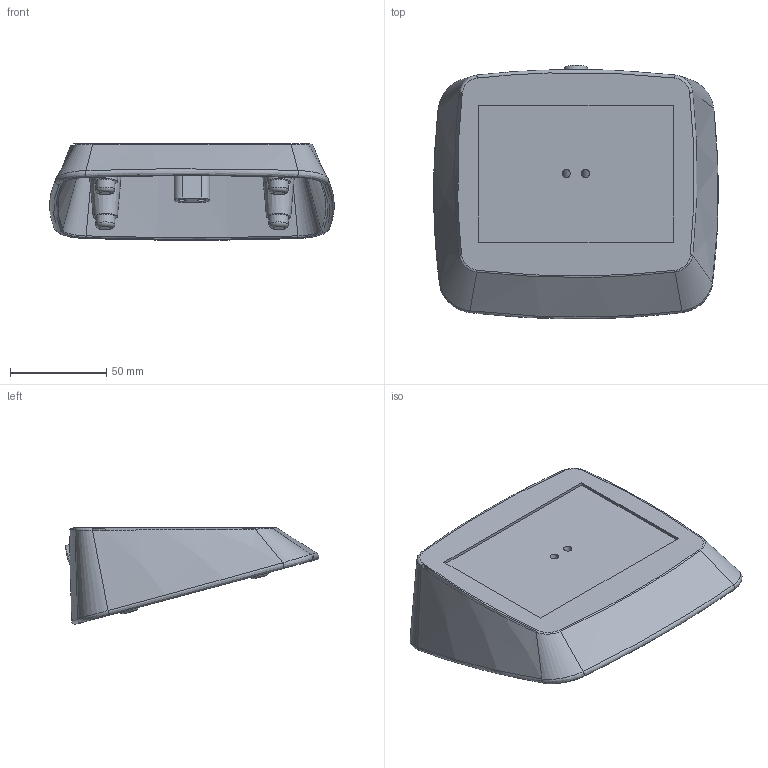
import cadquery as cq
import math

TILT = 15.0
BASE_DISTANCE = 35.17

TOP_HALF_X = 62.6
TOP_HALF_Y = 53.85
TOP_CENTRE_Y = 0.35
TOP_CORNER_X = 59.3
TOP_CORNER_Y = 50.0
TOP_CORNER_RADIUS = 10.0
BASE_HALF_X = 74.7
BASE_HALF_Y = 68.15
BASE_CORNER_X = 70.3
BASE_CORNER_Y = 62.4
BASE_CORNER_RADIUS = 19.0
BASE_CENTRE_Y = -3.5

TOP_WALL = 4.0
BASE_WALL = 4.8
TOP_EDGE_RADIUS = 1.6
RIM_OUTER_RADIUS = 2.0
RIM_INNER_RADIUS = 0.9

RECESS_X = 101.2
RECESS_Y = 71.0
RECESS_DEPTH = 1.5

HOLE_SPACING = 10.0
HOLE_DIAMETER = 4.2
POST_WIDTH = 8.6
POST_CENTRE_Y = 0.5
POST_RECESS = 5.0

FOOT_SPACING_X = 90.0
FOOT_SPACING_Y = 70.0
FOOT_CENTRE_Y = -1.5
FOOT_DIAMETER = 10.0
FOOT_PROTRUSION = 1.2
FOOT_EDGE_RADIUS = 2.0
LEG_END_DIAMETER = 12.6
LEG_TAPER = 5.0

PLUG_DIAMETER = 12.2
PLUG_LENGTH = 4.0
PLUG_BULGE = 0.5
PLUG_FACE_Y = 54.85
PLUG_FACE_Z = -15.2

SIN_TILT = math.sin(math.radians(TILT))
COS_TILT = math.cos(math.radians(TILT))
BASE_NORMAL = cq.Vector(0, SIN_TILT, COS_TILT)


def base_plane(inset=0.0):
    """Plane parallel to the base, moved into the housing by inset."""
    distance = BASE_DISTANCE - inset
    return cq.Plane(
        origin=(0, -distance * SIN_TILT, -distance * COS_TILT),
        xDir=(1, 0, 0),
        normal=BASE_NORMAL,
    )


def bowed_outline(plane, centre_y, half_x, half_y, corner_x, corner_y, radius, inset):
    """Rectangle with four bowed sides and rounded corners, offset inwards by inset."""
    wire = (
        cq.Workplane(plane)
        .center(0, centre_y)
        .moveTo(-corner_x, -corner_y)
        .threePointArc((0, -half_y), (corner_x, -corner_y))
        .threePointArc((half_x, 0), (corner_x, corner_y))
        .threePointArc((0, half_y), (-corner_x, corner_y))
        .threePointArc((-half_x, 0), (-corner_x, -corner_y))
        .close()
        .val()
    )
    wire = wire.fillet2D(radius, wire.Vertices())
    if inset:
        wire = wire.offset2D(-inset)[0]
    return wire


def housing_body(top_inset=0.0, base_inset=0.0):
    """Ruled body between the top and base outlines, each shrunk and the top lowered by its inset."""
    top = bowed_outline(
        cq.Plane.XY(origin=(0, 0, -top_inset)), TOP_CENTRE_Y, TOP_HALF_X, TOP_HALF_Y,
        TOP_CORNER_X, TOP_CORNER_Y, TOP_CORNER_RADIUS, top_inset,
    )
    base = bowed_outline(
        base_plane(), BASE_CENTRE_Y, BASE_HALF_X, BASE_HALF_Y,
        BASE_CORNER_X, BASE_CORNER_Y, BASE_CORNER_RADIUS, base_inset,
    )
    return cq.Workplane(cq.Solid.makeLoft([base, top], True))


def lowest_face(body):
    """Face farthest down along the base normal."""
    return body.faces(cq.selectors.DirectionMinMaxSelector(BASE_NORMAL, False))


def outer_body():
    """Solid housing with rounded top and base edges."""
    body = housing_body()
    body = lowest_face(body).edges().fillet(RIM_OUTER_RADIUS)
    return body.faces(">Z").edges().fillet(TOP_EDGE_RADIUS)


def shell():
    """Hollow housing, open at the base, with the inner edge of its rim rounded."""
    housing = outer_body().cut(housing_body(TOP_WALL, BASE_WALL))
    rim = lowest_face(housing).val()
    return housing.newObject(rim.innerWires()[0].Edges()).fillet(RIM_INNER_RADIUS)


def post():
    """Rounded post from its end inside the base up into the top wall."""
    return (
        cq.Workplane(base_plane(POST_RECESS))
        .center(0, POST_CENTRE_Y)
        .slot2D(HOLE_SPACING + POST_WIDTH, POST_WIDTH)
        .extrude(BASE_DISTANCE)
    )


def legs():
    """Tapered legs, widening towards the top wall."""
    return (
        cq.Workplane(base_plane(POST_RECESS))
        .center(0, FOOT_CENTRE_Y)
        .rect(FOOT_SPACING_X, FOOT_SPACING_Y, forConstruction=True)
        .vertices()
        .circle(LEG_END_DIAMETER / 2)
        .extrude(BASE_DISTANCE + POST_RECESS, taper=-LEG_TAPER)
    )


def feet():
    """Round feet with soft lower edges, standing proud of the base plane."""
    return (
        cq.Workplane(base_plane(-FOOT_PROTRUSION))
        .center(0, FOOT_CENTRE_Y)
        .rect(FOOT_SPACING_X, FOOT_SPACING_Y, forConstruction=True)
        .vertices()
        .circle(FOOT_DIAMETER / 2)
        .extrude(POST_RECESS + FOOT_PROTRUSION)
        .faces(cq.selectors.DirectionMinMaxSelector(BASE_NORMAL, False))
        .edges()
        .fillet(FOOT_EDGE_RADIUS)
    )


def plug():
    """Short cylinder with a domed outer end."""
    face_plane = cq.Plane(
        origin=(0, PLUG_FACE_Y, PLUG_FACE_Z),
        xDir=(1, 0, 0),
        normal=(0, COS_TILT, -SIN_TILT),
    )
    radius = PLUG_DIAMETER / 2
    dome_radius = (radius ** 2 + PLUG_BULGE ** 2) / (2 * PLUG_BULGE)
    dome_ball = cq.Workplane(face_plane).workplane(offset=PLUG_BULGE - dome_radius).sphere(dome_radius)
    return (
        cq.Workplane(face_plane)
        .workplane(offset=-PLUG_LENGTH)
        .circle(radius)
        .extrude(PLUG_LENGTH + PLUG_BULGE)
        .intersect(dome_ball)
    )


def screen_recess():
    return cq.Workplane("XY").rect(RECESS_X, RECESS_Y).extrude(-RECESS_DEPTH)


def cable_holes():
    return (
        cq.Workplane(base_plane())
        .center(0, POST_CENTRE_Y)
        .pushPoints([(-HOLE_SPACING / 2, 0), (HOLE_SPACING / 2, 0)])
        .circle(HOLE_DIAMETER / 2)
        .extrude(2 * BASE_DISTANCE)
    )


supports = post().union(legs()).intersect(housing_body())
result = (
    shell()
    .union(supports)
    .union(feet())
    .union(plug())
    .cut(screen_recess())
    .cut(cable_holes())
)